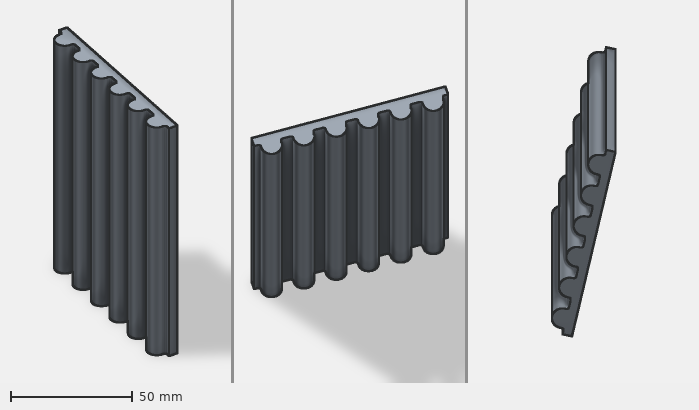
import cadquery as cq

belt_length = 84.0
belt_width = 115.0
total_thickness = 10.0

tooth_count = 6
backing_thickness = 4.0
tooth_radius = 4.4
root_radius = 1.0
pitch = belt_length / tooth_count

back_y = total_thickness / 2
tip_y = -total_thickness / 2
root_y = back_y - backing_thickness
flank_top_y = root_y - root_radius
flank_bottom_y = tip_y + tooth_radius
half_tooth_base = tooth_radius + root_radius


def add_tooth(outline, center_x):
    """Continue the outline, left to right, along one round-tipped tooth."""
    left_flank_x = center_x - tooth_radius
    right_flank_x = center_x + tooth_radius
    return (
        outline.lineTo(center_x - half_tooth_base, root_y)
        .radiusArc((left_flank_x, flank_top_y), root_radius)
        .lineTo(left_flank_x, flank_bottom_y)
        .threePointArc((center_x, tip_y), (right_flank_x, flank_bottom_y))
        .lineTo(right_flank_x, flank_top_y)
        .radiusArc((center_x + half_tooth_base, root_y), root_radius)
    )


left_x = -belt_length / 2
right_x = belt_length / 2
profile = cq.Workplane("XY").moveTo(left_x, back_y).lineTo(left_x, root_y)
for index in range(tooth_count):
    profile = add_tooth(profile, left_x + (index + 0.5) * pitch)
profile = profile.lineTo(right_x, root_y).lineTo(right_x, back_y).close()

result = profile.extrude(belt_width / 2, both=True)